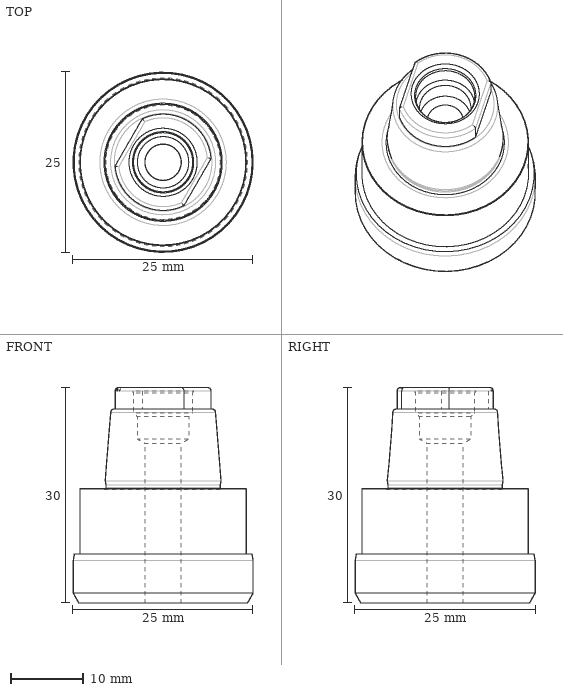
import cadquery as cq
import math

collar_diameter = 25.0
collar_radius = collar_diameter / 2
collar_foot_radius = 11.7
collar_rim_radius = 12.35
collar_foot_height = 1.4
collar_shoulder_z = 5.9
collar_top_z = 6.85

body_radius = 11.55
body_top_z = 15.93
body_edge_chamfer = 0.1

recess_rim_radius = 8.78
neck_radius = 7.95
neck_fillet = 0.27
recess_floor_radius = neck_radius + neck_fillet
recess_depth = 0.15

cone_base_radius = 8.05
neck_top_z = 16.38
cone_base_z = 16.98
cone_top_radius = 7.25
cone_top_z = 26.95
cone_edge_fillet = 0.5

tip_radius = 6.68
total_height = 29.95
tip_edge_fillet = 0.5
across_flats = 11.02
flat_direction = -30

bore_rim_radius = 4.73
entry_radius = 4.25
entry_depth = bore_rim_radius - entry_radius
bore_radius = 4.1
lead_in_depth = 0.8
bore_depth = 3.53
lower_bore_radius = 3.55
step_height = bore_radius - lower_bore_radius
lower_bore_depth = 7.2
through_diameter = 5.0
through_radius = through_diameter / 2
seat_slope = 30
seat_height = (lower_bore_radius - through_radius) * math.tan(math.radians(seat_slope))


def make_lower_body():
    """Collar, cylindrical body and tapered neck, turned about Z."""
    recess_floor_z = body_top_z - recess_depth
    lower_outline = [
        (0, 0),
        (collar_foot_radius, 0),
        (collar_radius, collar_foot_height),
        (collar_radius, collar_shoulder_z),
        (collar_rim_radius, collar_top_z),
        (body_radius, collar_top_z),
        (body_radius, body_top_z - body_edge_chamfer),
        (body_radius - body_edge_chamfer, body_top_z),
        (recess_rim_radius, body_top_z),
        (recess_floor_radius, recess_floor_z),
    ]
    turned = (
        cq.Workplane("XZ")
        .polyline(lower_outline)
        .radiusArc((neck_radius, recess_floor_z + neck_fillet), neck_fillet)
        .lineTo(neck_radius, neck_top_z)
        .lineTo(cone_base_radius, cone_base_z)
        .lineTo(cone_top_radius, cone_top_z)
        .lineTo(0, cone_top_z)
        .close()
        .revolve(360, (0, 0), (0, 1))
    )
    return turned.faces(">Z").edges().fillet(cone_edge_fillet)


def make_tip():
    """Round tip with two parallel wrench flats and a rounded top edge."""
    tip_height = total_height - cone_top_z
    flats = (
        cq.Workplane("XY", origin=(0, 0, cone_top_z))
        .rect(across_flats, collar_diameter)
        .extrude(tip_height)
    )
    tip = (
        cq.Workplane("XY", origin=(0, 0, cone_top_z))
        .circle(tip_radius)
        .extrude(tip_height)
        .intersect(flats)
        .faces(">Z")
        .edges()
        .fillet(tip_edge_fillet)
    )
    return tip.rotate((0, 0, 0), (0, 0, 1), flat_direction)


def make_bore():
    """Chamfered entry, steep lead-in, conical step and conical seat above the through hole."""
    lower_bore_z = total_height - lower_bore_depth
    profile = [
        (0, 0),
        (through_radius, 0),
        (through_radius, lower_bore_z - seat_height),
        (lower_bore_radius, lower_bore_z),
        (lower_bore_radius, total_height - bore_depth - step_height),
        (bore_radius, total_height - bore_depth),
        (bore_radius, total_height - lead_in_depth),
        (entry_radius, total_height - entry_depth),
        (bore_rim_radius, total_height),
        (0, total_height),
    ]
    return cq.Workplane("XZ").polyline(profile).close().revolve(360, (0, 0), (0, 1))


result = make_lower_body().union(make_tip()).cut(make_bore())